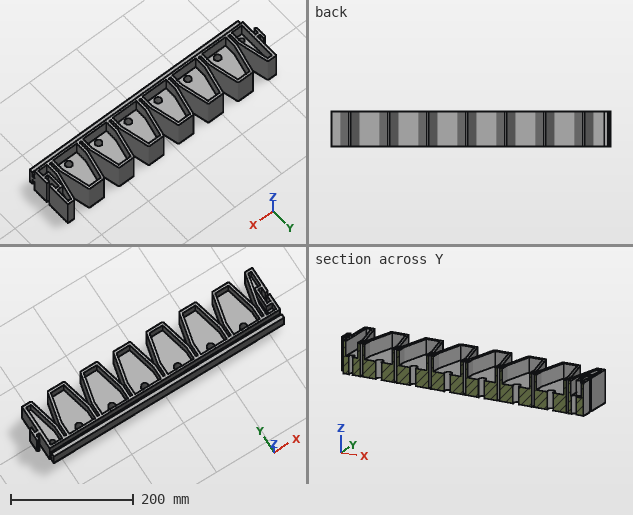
import cadquery as cq

LENGTH = 455.0
DEPTH = 97.0
HEIGHT = 57.5
WALL = 5.0
LEFT_WALL = 5.5

RAIL_PLATE = 7.0
RAIL_NECK = 5.5
RAIL_PLATE_HEIGHT = 34.5
RAIL_NECK_HEIGHT = 12.5
BODY_FRONT = RAIL_PLATE + RAIL_NECK

TONGUE_REACH = 10.0
TONGUE_PLATE = 4.5
TONGUE_WIDTH = 24.5
TONGUE_NECK_WIDTH = 5.5
TONGUE_CHAMFER = 2.0
JOINT_Y = 46.5
BODY_LEFT = TONGUE_REACH

GROOVE_LIP = 5.5
GROOVE_POCKET = 6.5
COLLAR_WALL = 4.5
GROOVE_WIDTH = 27.5
GROOVE_NECK_WIDTH = 5.5

GAP_COUNT = 7
FIRST_GAP_X = 43.5
GAP_SPAN = 381.0
GAP_PITCH = GAP_SPAN / (GAP_COUNT - 1)
GAP_CENTERS = [FIRST_GAP_X + i * GAP_PITCH for i in range(GAP_COUNT)]
SLOT_WIDTH = 3.5
SLOT_BOTTOM = 17.7
FLARE_START = 39.5
FLARE_TOP_WIDTH = 31.0
FLARE_SLOPE = (FLARE_TOP_WIDTH - SLOT_WIDTH) / 2 / (DEPTH - FLARE_START)
TOOTH_CORNER_RADIUS = 2.5

POCKET_DEPTH = 26.0
POCKET_FRONT_WALL = 4.0
POCKET_FRONT = BODY_FRONT + POCKET_FRONT_WALL
POCKET_BACK = DEPTH - WALL

TOOTH_HOLE_DIAMETER = 12.7
TOOTH_HOLE_Y = 26.0
LEFT_HOLE_DIAMETER = 9.5
LEFT_HOLE_X = 24.0
RIGHT_HOLE_DIAMETER = 8.0
RIGHT_HOLE_X = 437.0
RIGHT_HOLE_Y = 22.7


def block(x_min, x_max, y_min, y_max, z_min=0.0, z_max=HEIGHT):
    """Box given by its limits along each axis."""
    size = (x_max - x_min, y_max - y_min, z_max - z_min)
    return cq.Workplane("XY").box(*size, centered=False).translate((x_min, y_min, z_min))


def centered_block(x_min, x_max, y_center, width):
    """Full-height box with a given width about a Y position."""
    return block(x_min, x_max, y_center - width / 2, y_center + width / 2)


def rail_bar(y_min, y_max, bar_height):
    """Bar along the body, centred on its height."""
    z_min = (HEIGHT - bar_height) / 2
    return block(BODY_LEFT, LENGTH, y_min, y_max, z_min, z_min + bar_height)


def flared_prism(x_center, half_width, y_min, y_max, slope, z_min):
    """Symmetric prism, straight up to the flare start, then sloping by `slope` per unit of Y."""
    half_top = half_width + slope * (y_max - FLARE_START)
    right_side = [(half_width, y_min), (half_width, FLARE_START), (half_top, y_max)]
    left_side = [(-x, y) for x, y in reversed(right_side)]
    outline = cq.Workplane("XY", origin=(x_center, 0, z_min)).polyline(right_side + left_side)
    return outline.close().extrude(HEIGHT - z_min)


def tooth_pocket(x_center):
    """Pocket that leaves one wall thickness beside the gaps on either side."""
    half_width = (GAP_PITCH - SLOT_WIDTH) / 2 - WALL
    return flared_prism(
        x_center, half_width, POCKET_FRONT, POCKET_BACK, -FLARE_SLOPE, HEIGHT - POCKET_DEPTH
    )


def hole(x, y, diameter):
    """Vertical cylinder through the full height."""
    return cq.Workplane("XY").center(x, y).circle(diameter / 2).extrude(HEIGHT)


body = block(BODY_LEFT, LENGTH, BODY_FRONT, DEPTH)
for gap_x in GAP_CENTERS:
    body = body.cut(flared_prism(gap_x, SLOT_WIDTH / 2, SLOT_BOTTOM, DEPTH, FLARE_SLOPE, 0))
inner_corners = cq.selectors.BoxSelector(
    (BODY_LEFT + WALL, DEPTH - WALL, 0), (LENGTH - WALL, DEPTH + WALL, HEIGHT)
)
body = body.edges("|Z").edges(inner_corners).fillet(TOOTH_CORNER_RADIUS)

for gap_x in GAP_CENTERS[:-1]:
    tooth_x = gap_x + GAP_PITCH / 2
    body = body.cut(tooth_pocket(tooth_x))
    body = body.cut(hole(tooth_x, TOOTH_HOLE_Y, TOOTH_HOLE_DIAMETER))

end_limits = block(BODY_LEFT + LEFT_WALL, LENGTH - WALL, 0, DEPTH)
body = body.cut(tooth_pocket(GAP_CENTERS[0] - GAP_PITCH / 2).intersect(end_limits))
body = body.cut(hole(LEFT_HOLE_X, TOOTH_HOLE_Y, LEFT_HOLE_DIAMETER))

groove_left = LENGTH - GROOVE_LIP - GROOVE_POCKET
collar = centered_block(groove_left - COLLAR_WALL, LENGTH, JOINT_Y, GROOVE_WIDTH + 2 * COLLAR_WALL)
body = body.cut(hole(RIGHT_HOLE_X, RIGHT_HOLE_Y, RIGHT_HOLE_DIAMETER))
body = body.cut(tooth_pocket(GAP_CENTERS[-1] + GAP_PITCH / 2).intersect(end_limits).cut(collar))
body = body.cut(centered_block(groove_left, LENGTH - GROOVE_LIP, JOINT_Y, GROOVE_WIDTH))
body = body.cut(centered_block(groove_left, LENGTH, JOINT_Y, GROOVE_NECK_WIDTH))

tongue_plate = centered_block(0, TONGUE_PLATE, JOINT_Y, TONGUE_WIDTH)
tongue_plate = tongue_plate.faces("<X").edges("|Z").chamfer(TONGUE_CHAMFER)
tongue_neck = centered_block(TONGUE_PLATE, BODY_LEFT, JOINT_Y, TONGUE_NECK_WIDTH)

rail_plate = rail_bar(0, RAIL_PLATE, RAIL_PLATE_HEIGHT)
rail_neck = rail_bar(RAIL_PLATE, BODY_FRONT, RAIL_NECK_HEIGHT)

result = body.union(tongue_neck).union(tongue_plate).union(rail_neck).union(rail_plate)